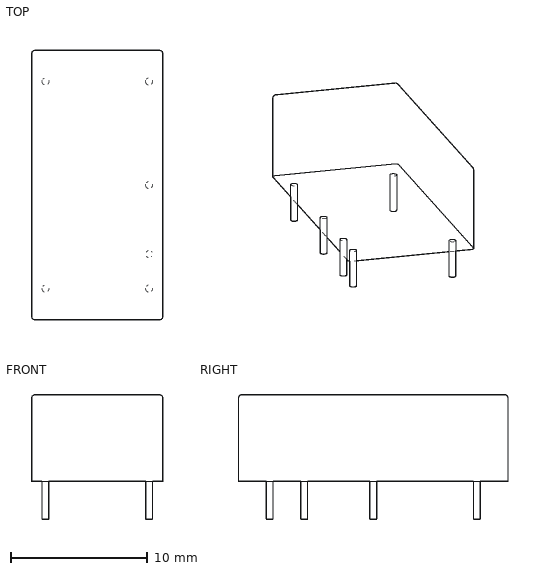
import cadquery as cq

case_width = 9.65
case_length = 19.82
total_height = 9.18
pin_length = 2.8
case_height = total_height - pin_length
case_edge_radius = 0.25

pin_diameter = 0.52
pin_tip_radius = 0.08
pin_pitch = 2.54
row_offset = 1.5 * pin_pitch
left_row_steps = (-3, 3)
right_row_steps = (-3, -2, 0, 3)


def make_case():
    """Block with rounded top and vertical edges, its underside at Z = 0."""
    block = cq.Workplane("XY").box(case_width, case_length, case_height, centered=(True, True, False))
    return block.edges("|Z or >Z").fillet(case_edge_radius)


def make_pin_row(x, steps):
    """Row of round pins below the case, with rounded tips."""
    places = [(x, step * pin_pitch) for step in steps]
    pins = cq.Workplane("XY").pushPoints(places).circle(pin_diameter / 2).extrude(-pin_length)
    return pins.faces("<Z").edges().fillet(pin_tip_radius)


left_pins = make_pin_row(-row_offset, left_row_steps)
right_pins = make_pin_row(row_offset, right_row_steps)
result = make_case().union(left_pins).union(right_pins)